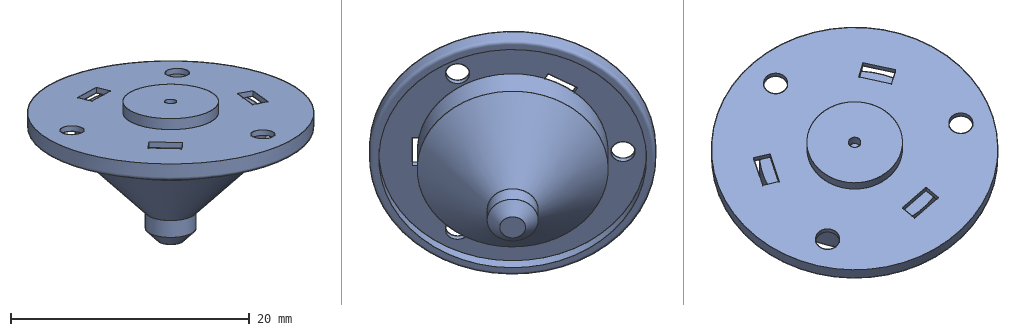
import cadquery as cq
import math

flange_radius = 12.0
flange_thickness = 1.5
flange_edge_fillet = 0.3
plate_thickness = 0.5
rim_inner_radius = 11.2
boss_radius = 4.0
boss_height = 0.98

collar_radius = flange_radius * 2 / 3
collar_projection = 1.5
pin_radius = 2.14
cone_height = collar_radius - pin_radius
pin_height = 1.5
tip_height = 1.05
tip_radius = pin_radius - tip_height

center_hole_diameter = 1.0
center_hole_depth = boss_height
bolt_hole_diameter = 2.02
bolt_circle_radius = 9.25
bolt_start_angle = 15
slot_radial_size = 1.45
slot_width = 2.83
slot_center_radius = 7.68
slot_start_angle = 75
opening_count = 3

boss_top = flange_thickness + boss_height
plate_bottom = flange_thickness - plate_thickness
cone_top = -collar_projection
cone_bottom = cone_top - cone_height
pin_bottom = cone_bottom - pin_height
tip_bottom = pin_bottom - tip_height


def revolved_body():
    """Solid of revolution about Z, from a half profile in the XZ plane."""
    fillet_center_radius = flange_radius - flange_edge_fillet
    fillet_reach = flange_edge_fillet * math.sqrt(0.5)
    fillet_middle = (fillet_center_radius + fillet_reach, flange_edge_fillet - fillet_reach)
    return (
        cq.Workplane("XZ")
        .moveTo(0, boss_top)
        .lineTo(boss_radius, boss_top)
        .lineTo(boss_radius, flange_thickness)
        .lineTo(flange_radius, flange_thickness)
        .lineTo(flange_radius, flange_edge_fillet)
        .threePointArc(fillet_middle, (fillet_center_radius, 0))
        .lineTo(rim_inner_radius, 0)
        .lineTo(rim_inner_radius, plate_bottom)
        .lineTo(collar_radius, plate_bottom)
        .lineTo(collar_radius, cone_top)
        .lineTo(pin_radius, cone_bottom)
        .lineTo(pin_radius, pin_bottom)
        .lineTo(tip_radius, tip_bottom)
        .lineTo(0, tip_bottom)
        .close()
        .revolve(360, (0, 0), (0, 1))
    )


def around_axis(radius, start_angle):
    """Plate-top workplane with evenly spaced points, local X pointing outward."""
    plate_top = cq.Workplane("XY", origin=(0, 0, flange_thickness))
    return plate_top.polarArray(radius, start_angle, 360, opening_count)


center_hole = (
    cq.Workplane("XY", origin=(0, 0, boss_top))
    .circle(center_hole_diameter / 2)
    .extrude(-center_hole_depth)
)
bolt_holes = (
    around_axis(bolt_circle_radius, bolt_start_angle)
    .circle(bolt_hole_diameter / 2)
    .extrude(-plate_thickness)
)
slots = (
    around_axis(slot_center_radius, slot_start_angle)
    .rect(slot_radial_size, slot_width)
    .extrude(-plate_thickness)
)

result = revolved_body().cut(center_hole).cut(bolt_holes).cut(slots)